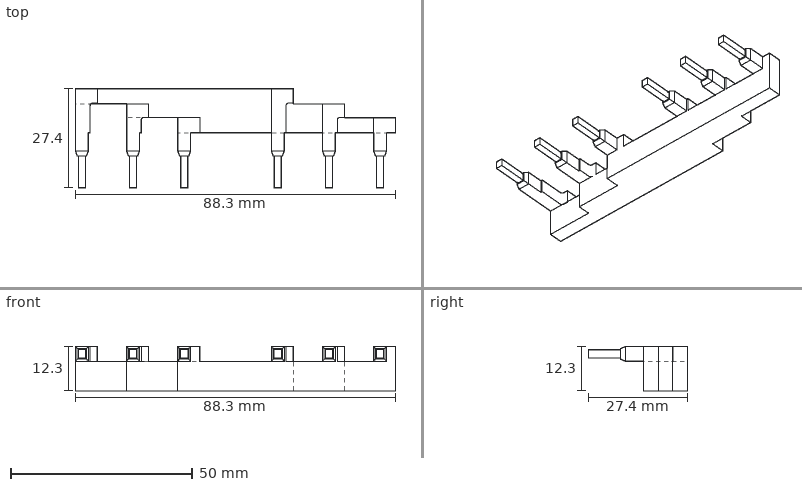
import cadquery as cq

PITCH = 14.1
PHASE_SPACING = 54.0
RAIL_HEIGHT = 8.2
RAIL_FRONTS = (-4.2, -8.0, -12.2)
HEAD_FRONTS = (-4.0, -8.0, -12.2)
STACK_FRONT = RAIL_FRONTS[-1]
HEAD_WIDTH = 6.1
RAIL_LENGTH = PHASE_SPACING + HEAD_WIDTH

TOTAL_HEIGHT = 12.3
ARM_THICKNESS = TOTAL_HEIGHT - RAIL_HEIGHT
ARM_ROOT_WIDTH = 4.1
ARM_TIP_WIDTH = 3.6
ARM_END_Y = -17.2
SHOULDER_END_Y = -18.6
PIN_END_Y = -27.4
SHOULDER_INSET_X = 0.5
SHOULDER_INSET_Z = 0.6
PIN_WIDTH = 2.0
PIN_HEIGHT = 2.3
INNER_RADIUS = 0.7

ARM_CENTER_X = ARM_TIP_WIDTH / 2
ARM_CENTER_Z = RAIL_HEIGHT + ARM_THICKNESS / 2


def block(x_start, x_end, y_front, y_back, z_bottom, z_top):
    size = (x_end - x_start, y_back - y_front, z_top - z_bottom)
    return cq.Workplane("XY").box(*size, centered=False).translate((x_start, y_front, z_bottom))


def make_arm(y_back, y_front):
    """L-shaped arm seen from above: wide head, narrower tip and, where the arm is long, a wider root."""
    z_range = (RAIL_HEIGHT, TOTAL_HEIGHT)
    arm = block(0, HEAD_WIDTH, y_front, y_back, *z_range)
    if y_front > STACK_FRONT:
        arm = arm.union(block(0, ARM_ROOT_WIDTH, STACK_FRONT, y_back, *z_range))
        arm = arm.edges(cq.selectors.NearestToPointSelector((ARM_ROOT_WIDTH, y_front, ARM_CENTER_Z)))
        arm = arm.fillet(INNER_RADIUS)
    return arm.union(block(0, ARM_TIP_WIDTH, ARM_END_Y, y_back, *z_range))


def make_tip():
    """Tapered shoulder and pin on the front end of an arm."""
    shoulder_length = ARM_END_Y - SHOULDER_END_Y
    shoulder = (
        cq.Workplane("XZ", origin=(ARM_CENTER_X, ARM_END_Y, ARM_CENTER_Z))
        .rect(ARM_TIP_WIDTH, ARM_THICKNESS)
        .workplane(offset=shoulder_length)
        .rect(ARM_TIP_WIDTH - 2 * SHOULDER_INSET_X, ARM_THICKNESS - 2 * SHOULDER_INSET_Z)
        .loft(ruled=True)
    )
    pin = (
        cq.Workplane("XZ", origin=(ARM_CENTER_X, SHOULDER_END_Y, ARM_CENTER_Z))
        .rect(PIN_WIDTH, PIN_HEIGHT)
        .extrude(SHOULDER_END_Y - PIN_END_Y)
    )
    return shoulder.union(pin)


def make_busbar(index):
    """One rail with its two prongs."""
    x_start = index * PITCH
    y_back = RAIL_FRONTS[index - 1] if index > 0 else 0
    y_front = RAIL_FRONTS[index]
    busbar = block(x_start, x_start + RAIL_LENGTH, y_front, y_back, 0, RAIL_HEIGHT)
    prong = make_arm(y_back, HEAD_FRONTS[index]).union(make_tip())
    for prong_x in (x_start, x_start + PHASE_SPACING):
        busbar = busbar.union(prong.translate((prong_x, 0, 0)))
    return busbar


result = make_busbar(0)
for rail_index in range(1, len(RAIL_FRONTS)):
    result = result.union(make_busbar(rail_index))